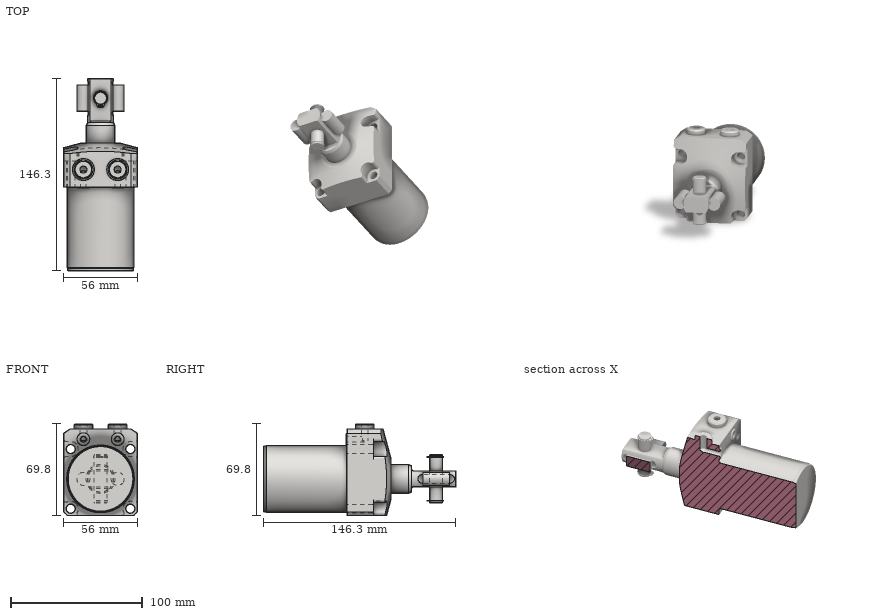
import cadquery as cq
import math


HEAD_WIDTH = 56.0
HEAD_TOP = 38.0
HEAD_BOTTOM = -28.0
HEAD_DEPTH = 33.3
HALF_WIDTH = HEAD_WIDTH / 2
TOP_CORNER_RADIUS = 44.5
BOTTOM_CHAMFER = 2.9
NOSE_RADIUS = 15.2
NOSE_CONE_ANGLE = 15.0

HOLE_SPACING = 45.3
HOLE_RADIUS = 3.4
POCKET_RADIUS = 5.7
POCKET_FLARE = 1.9
POCKET_FLOOR_Y = 19.9
HOLE_OFFSET = HOLE_SPACING / 2

BARREL_LENGTH = 63.8
BARREL_RADIUS = 25.5
COLLAR_RADIUS = 25.7
COLLAR_LENGTH = 0.5
END_STEP_RADIUS = 25.0
END_STEP_LENGTH = 2.0
END_CHAMFER = 0.5

PORT_SPACING = 26.0
PLUG_Y = 13.3
PLUG_RADIUS = 7.2
PLUG_HEIGHT = 3.8
PLUG_CHAMFER = 0.9
SPOTFACE_RADIUS = 8.3
SPOTFACE_DEPTH = 0.3
BORE_RADIUS = 2.6
BORE_BOTTOM_Z = 29.1
DRILL_POINT_ANGLE = 118.0
FACE_PORT_Z = 30.1
FACE_PORT_RADIUS = 2.0
O_RING_TUBE = 1.5
O_RING_SINK = 0.6

ROD_END_Y = 82.5
ROD_RADIUS = 11.0
NECK_RADIUS = 10.0
SHOULDER_Y = 49.0
SHOULDER_CHAMFER = 2.3
TIP_CHAMFER_LENGTH = 1.0
TIP_CHAMFER = 0.3
FLAT_THICKNESS = 12.0
FLAT_RAMP = 1.2
HALF_FLAT = FLAT_THICKNESS / 2

ROLLER_RADIUS = 5.0
ROLLER_LENGTH = 20.0
ROLLERS_WIDTH = 36.0
ROLLER_X = ROLLERS_WIDTH / 2 - ROLLER_RADIUS

PIN_Y = 67.5
PIN_RADIUS = 5.0
PIN_LENGTH = 36.7
PIN_CHAMFER = 0.5
RING_SPACING = 33.2
RING_THICKNESS = 0.6
RING_RADIUS = 5.4
RING_ECCENTRICITY = 0.3
RING_GAP = 0.5
LUG_REACH = 7.0
LUG_BASE_HALF = 3.0
LUG_TIP_HALF = 1.8
LUG_HOLE_RADIUS = 0.5
LUG_HOLE_SPACING = 2.0
LUG_HOLE_REACH = 6.0


def turned(profile):
    """Revolve (radius, y) points about the Y axis."""
    return cq.Workplane("XY").polyline(profile).close().revolve(360, (0, 0), (0, 1))


def head_block():
    arc_side_z = math.sqrt(TOP_CORNER_RADIUS**2 - HALF_WIDTH**2)
    arc_top_x = math.sqrt(TOP_CORNER_RADIUS**2 - HEAD_TOP**2)
    arc_angle = (math.atan2(arc_side_z, HALF_WIDTH) + math.atan2(HEAD_TOP, arc_top_x)) / 2
    arc_mid_x = TOP_CORNER_RADIUS * math.cos(arc_angle)
    arc_mid_z = TOP_CORNER_RADIUS * math.sin(arc_angle)
    chamfer_x = HALF_WIDTH - BOTTOM_CHAMFER
    chamfer_z = HEAD_BOTTOM + BOTTOM_CHAMFER
    block = (
        cq.Workplane("XZ", origin=(0, HEAD_DEPTH, 0))
        .moveTo(-chamfer_x, HEAD_BOTTOM)
        .lineTo(chamfer_x, HEAD_BOTTOM)
        .lineTo(HALF_WIDTH, chamfer_z)
        .lineTo(HALF_WIDTH, arc_side_z)
        .threePointArc((arc_mid_x, arc_mid_z), (arc_top_x, HEAD_TOP))
        .lineTo(-arc_top_x, HEAD_TOP)
        .threePointArc((-arc_mid_x, arc_mid_z), (-HALF_WIDTH, arc_side_z))
        .lineTo(-HALF_WIDTH, chamfer_z)
        .close()
        .extrude(HEAD_DEPTH)
    )
    cone_radius = 1.1 * TOP_CORNER_RADIUS
    cone_drop = (cone_radius - NOSE_RADIUS) * math.tan(math.radians(NOSE_CONE_ANGLE))
    nose_cone = turned(
        [
            (0, 0),
            (cone_radius, 0),
            (cone_radius, HEAD_DEPTH - cone_drop),
            (NOSE_RADIUS, HEAD_DEPTH),
            (0, HEAD_DEPTH),
        ]
    )
    return block.intersect(nose_cone)


def barrel():
    """Plain cylinder with a low collar at the head and a bevelled step at the free end."""
    step_y = END_STEP_LENGTH - BARREL_LENGTH
    return turned(
        [
            (0, 0),
            (COLLAR_RADIUS, 0),
            (COLLAR_RADIUS, -COLLAR_LENGTH),
            (BARREL_RADIUS, -COLLAR_LENGTH),
            (BARREL_RADIUS, step_y + BARREL_RADIUS - END_STEP_RADIUS),
            (END_STEP_RADIUS, step_y),
            (END_STEP_RADIUS, END_CHAMFER - BARREL_LENGTH),
            (END_STEP_RADIUS - END_CHAMFER, -BARREL_LENGTH),
            (0, -BARREL_LENGTH),
        ]
    )


def nose_plane():
    return cq.Workplane("XZ", origin=(0, HEAD_DEPTH, 0))


def upper_pocket():
    """Slot on the +X side, open to the side face with flared edges."""
    flare_x = HALF_WIDTH - POCKET_FLARE
    slot_top = HOLE_OFFSET + POCKET_RADIUS
    slot_bottom = HOLE_OFFSET - POCKET_RADIUS
    return (
        nose_plane()
        .moveTo(HOLE_OFFSET, slot_top)
        .lineTo(flare_x, slot_top)
        .radiusArc((HALF_WIDTH, slot_top + POCKET_FLARE), -POCKET_FLARE)
        .lineTo(HALF_WIDTH, slot_bottom - POCKET_FLARE)
        .radiusArc((flare_x, slot_bottom), -POCKET_FLARE)
        .lineTo(HOLE_OFFSET, slot_bottom)
        .threePointArc((HOLE_OFFSET - POCKET_RADIUS, HOLE_OFFSET), (HOLE_OFFSET, slot_top))
        .close()
        .extrude(HEAD_DEPTH - POCKET_FLOOR_Y)
    )


def lower_pocket():
    """Round pocket in the +X bottom corner, flared out to the side and bottom faces."""
    near = HALF_WIDTH - POCKET_FLARE - HOLE_OFFSET
    far = math.sqrt((POCKET_RADIUS + POCKET_FLARE) ** 2 - near**2)
    touch = POCKET_RADIUS / (POCKET_RADIUS + POCKET_FLARE)
    inner = POCKET_RADIUS / math.sqrt(2)
    return (
        nose_plane()
        .center(HOLE_OFFSET, -HOLE_OFFSET)
        .moveTo(near + POCKET_FLARE, far)
        .radiusArc((near * touch, far * touch), POCKET_FLARE)
        .threePointArc((-inner, inner), (-far * touch, -near * touch))
        .radiusArc((-far, -near - POCKET_FLARE), POCKET_FLARE)
        .lineTo(near + POCKET_FLARE, -near - POCKET_FLARE)
        .close()
        .extrude(HEAD_DEPTH - POCKET_FLOOR_Y)
    )


def mounting_holes():
    return (
        nose_plane()
        .rect(HOLE_SPACING, HOLE_SPACING, forConstruction=True)
        .vertices()
        .circle(HOLE_RADIUS)
        .extrude(HEAD_DEPTH)
    )


def port_plug(x):
    plug_base = HEAD_TOP - SPOTFACE_DEPTH
    return (
        cq.Workplane("XY", origin=(x, PLUG_Y, plug_base))
        .circle(PLUG_RADIUS)
        .extrude(PLUG_HEIGHT + SPOTFACE_DEPTH)
        .faces(">Z")
        .chamfer(PLUG_CHAMFER)
    )


def spotface(x):
    return (
        cq.Workplane("XY", origin=(x, PLUG_Y, HEAD_TOP))
        .circle(SPOTFACE_RADIUS)
        .extrude(-SPOTFACE_DEPTH)
    )


def o_ring(x):
    major = FACE_PORT_RADIUS + O_RING_TUBE
    ring = cq.Solid.makeTorus(
        major, O_RING_TUBE, cq.Vector(x, O_RING_SINK, FACE_PORT_Z), cq.Vector(0, 1, 0)
    )
    return cq.Workplane(ring)


def port_bores(x):
    """Drilled bore down through the plug, met by a cross bore from the mounting face."""
    plug_top = HEAD_TOP + PLUG_HEIGHT
    point_depth = BORE_RADIUS / math.tan(math.radians(DRILL_POINT_ANGLE / 2))
    drilled = (
        cq.Workplane("XZ", origin=(x, PLUG_Y, 0))
        .polyline(
            [
                (0, plug_top),
                (BORE_RADIUS, plug_top),
                (BORE_RADIUS, BORE_BOTTOM_Z),
                (0, BORE_BOTTOM_Z - point_depth),
            ]
        )
        .close()
        .revolve(360, (0, 0), (0, 1))
    )
    cross = (
        cq.Workplane("XZ", origin=(x, PLUG_Y, FACE_PORT_Z))
        .circle(FACE_PORT_RADIUS)
        .extrude(PLUG_Y + O_RING_TUBE)
    )
    return drilled.union(cross)


def make_housing():
    body = head_block().union(barrel())
    for pocket in (upper_pocket(), lower_pocket()):
        body = body.cut(pocket).cut(pocket.mirror("YZ"))
    body = body.cut(mounting_holes())
    for x in (-PORT_SPACING / 2, PORT_SPACING / 2):
        body = body.cut(spotface(x)).union(port_plug(x)).union(o_ring(x)).cut(port_bores(x))
    return body


def make_roller(x):
    return (
        cq.Workplane("XZ", origin=(x, PIN_Y + ROLLER_LENGTH / 2, 0))
        .circle(ROLLER_RADIUS)
        .extrude(ROLLER_LENGTH)
    )


def roller_groove(x):
    """Roller seat with ball-shaped run-outs at both ends."""
    groove = make_roller(x)
    for y in (PIN_Y - ROLLER_LENGTH / 2, PIN_Y + ROLLER_LENGTH / 2):
        groove = groove.union(cq.Workplane("XY", origin=(x, y, 0)).sphere(ROLLER_RADIUS))
    return groove


def rod_flat():
    """Material above the upper flat, with a ramp up to the shoulder."""
    return (
        cq.Workplane("YZ")
        .polyline(
            [
                (ROD_END_Y, HALF_FLAT),
                (SHOULDER_Y + FLAT_RAMP, HALF_FLAT),
                (SHOULDER_Y, HALF_FLAT + FLAT_RAMP),
                (SHOULDER_Y, ROD_RADIUS),
                (ROD_END_Y, ROD_RADIUS),
            ]
        )
        .close()
        .extrude(ROD_RADIUS, both=True)
    )


def make_rod():
    rod = turned(
        [
            (0, HEAD_DEPTH),
            (ROD_RADIUS, HEAD_DEPTH),
            (ROD_RADIUS, SHOULDER_Y - SHOULDER_CHAMFER),
            (NECK_RADIUS, SHOULDER_Y),
            (NECK_RADIUS, ROD_END_Y - TIP_CHAMFER_LENGTH),
            (NECK_RADIUS - TIP_CHAMFER, ROD_END_Y),
            (0, ROD_END_Y),
        ]
    )
    rod = rod.cut(rod_flat()).cut(rod_flat().mirror("XY"))
    pin_hole = cq.Workplane("XY", origin=(0, PIN_Y, 0)).circle(PIN_RADIUS)
    rod = rod.cut(pin_hole.extrude(ROD_RADIUS, both=True))
    for x in (-ROLLER_X, ROLLER_X):
        rod = rod.cut(roller_groove(x))
    return rod


def retaining_ring(z):
    """Eccentric ring, gapped at a lug with two plier holes on the side facing the housing."""
    plane = cq.Workplane("XY", origin=(0, PIN_Y, z - RING_THICKNESS / 2))
    ring = plane.center(0, RING_ECCENTRICITY).circle(RING_RADIUS).extrude(RING_THICKNESS)
    lug = (
        plane.polyline(
            [
                (-LUG_BASE_HALF, 0),
                (-LUG_BASE_HALF, -PIN_RADIUS),
                (-LUG_TIP_HALF, -LUG_REACH),
                (LUG_TIP_HALF, -LUG_REACH),
                (LUG_BASE_HALF, -PIN_RADIUS),
                (LUG_BASE_HALF, 0),
            ]
        )
        .close()
        .extrude(RING_THICKNESS)
    )
    gap = plane.center(0, -LUG_REACH / 2).rect(RING_GAP, LUG_REACH).extrude(RING_THICKNESS)
    plier_holes = (
        plane.center(0, -LUG_HOLE_REACH)
        .rarray(LUG_HOLE_SPACING, 1.5, 2, 1)
        .circle(LUG_HOLE_RADIUS)
        .extrude(RING_THICKNESS)
    )
    return ring.union(lug).cut(gap).cut(plier_holes)


def make_pin():
    pin = (
        cq.Workplane("XY", origin=(0, PIN_Y, -PIN_LENGTH / 2))
        .circle(PIN_RADIUS)
        .extrude(PIN_LENGTH)
        .faces("<Z or >Z")
        .chamfer(PIN_CHAMFER)
    )
    for z in (-RING_SPACING / 2, RING_SPACING / 2):
        pin = pin.union(retaining_ring(z))
    return pin


housing = make_housing()
rod = make_rod()
rollers = [make_roller(x) for x in (-ROLLER_X, ROLLER_X)]
pin = make_pin()

result = cq.Compound.makeCompound(
    [housing.val(), rod.val(), *[roller.val() for roller in rollers], pin.val()]
)